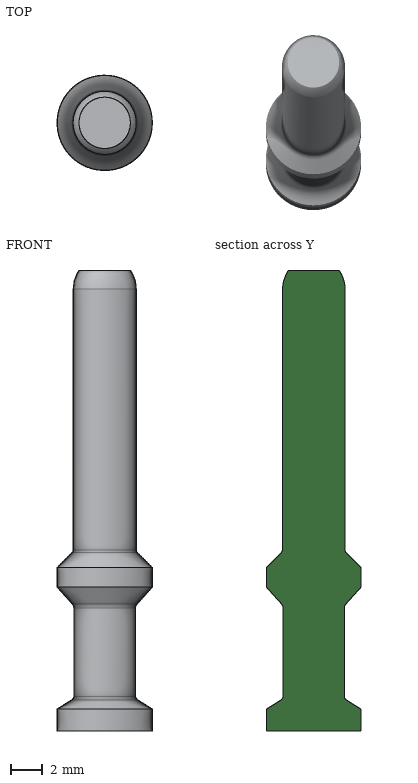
import cadquery as cq
import math

total_height = 29.0
flange_diameter = 6.0
pin_diameter = 3.97
neck_diameter = 3.9

base_rim_height = 1.4
base_cone_angle = 32.0
base_fillet_radius = 0.25

collar_rim_bottom = 9.08
collar_rim_top = 10.3
collar_upper_cone_angle = 45.0
collar_lower_cone_angle = 48.0
collar_lower_fillet_radius = 0.35
collar_upper_fillet_radius = 0.23

tip_height = 1.15
tip_arc_radius = 2.0

flange_radius = flange_diameter / 2
pin_radius = pin_diameter / 2
neck_radius = neck_diameter / 2


def cone_height(inner_radius, angle):
    """Height of a cone from inner_radius to the flange rim, angle measured from the horizontal."""
    return (flange_radius - inner_radius) * math.tan(math.radians(angle))


neck_bottom = base_rim_height + cone_height(neck_radius, base_cone_angle)
neck_top = collar_rim_bottom - cone_height(neck_radius, collar_lower_cone_angle)
pin_bottom = collar_rim_top + cone_height(pin_radius, collar_upper_cone_angle)
tip_bottom = total_height - tip_height


def tip_radius_at(height):
    """Radius of the rounded tip at a height above its tangent circle."""
    return pin_radius - tip_arc_radius + math.sqrt(tip_arc_radius**2 - height**2)


def turned_body():
    """Turned profile from the base to the tip, revolved about Z."""
    return (
        cq.Workplane("XZ")
        .lineTo(flange_radius, 0)
        .lineTo(flange_radius, base_rim_height)
        .lineTo(neck_radius, neck_bottom)
        .lineTo(neck_radius, neck_top)
        .lineTo(flange_radius, collar_rim_bottom)
        .lineTo(flange_radius, collar_rim_top)
        .lineTo(pin_radius, pin_bottom)
        .lineTo(pin_radius, tip_bottom)
        .threePointArc(
            (tip_radius_at(tip_height / 2), tip_bottom + tip_height / 2),
            (tip_radius_at(tip_height), total_height),
        )
        .lineTo(0, total_height)
        .close()
        .revolve(360, (0, 0, 0), (0, 1, 0))
    )


def fillet_ring(body, height, radius):
    """Round the circular corner that lies at the given height."""
    half_band = 0.03
    ring = cq.selectors.BoxSelector(
        (-flange_radius, -flange_radius, height - half_band),
        (flange_radius, flange_radius, height + half_band),
        boundingbox=True,
    )
    return body.edges(ring).fillet(radius)


result = turned_body()
result = fillet_ring(result, neck_bottom, base_fillet_radius)
result = fillet_ring(result, neck_top, collar_lower_fillet_radius)
result = fillet_ring(result, pin_bottom, collar_upper_fillet_radius)